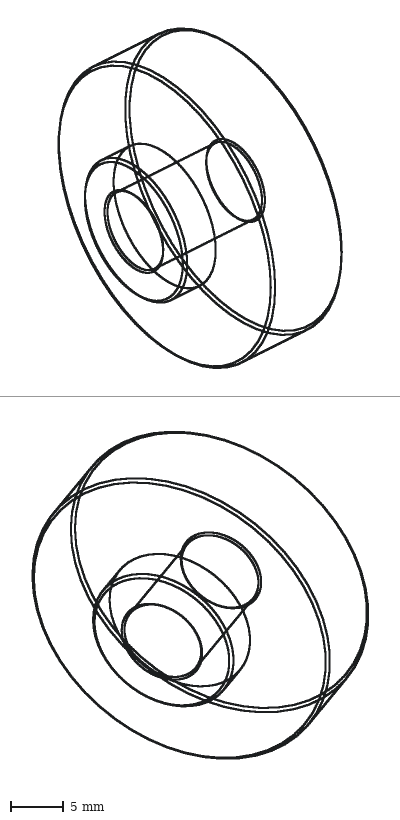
import cadquery as cq

wheel_diameter = 31.8
wheel_width = 9.0
hub_diameter = 15.0
hub_length = 3.9
bore_diameter = 8.2
outer_chamfer = 0.3
bore_chamfer = 0.2

total_width = wheel_width + hub_length


def cylinder_along_y(diameter, length):
    """Cylinder from the wheel's back face (Y = 0) toward -Y."""
    return cq.Workplane("XZ").circle(diameter / 2).extrude(length)


wheel = cylinder_along_y(wheel_diameter, wheel_width).edges().chamfer(outer_chamfer)

hub = cylinder_along_y(hub_diameter, total_width).faces("<Y").edges().chamfer(outer_chamfer)

body = wheel.union(hub).cut(cylinder_along_y(bore_diameter, total_width))
bore_mouths = cq.selectors.RadiusNthSelector(0)
result = body.edges("%CIRCLE").edges(bore_mouths).chamfer(bore_chamfer)